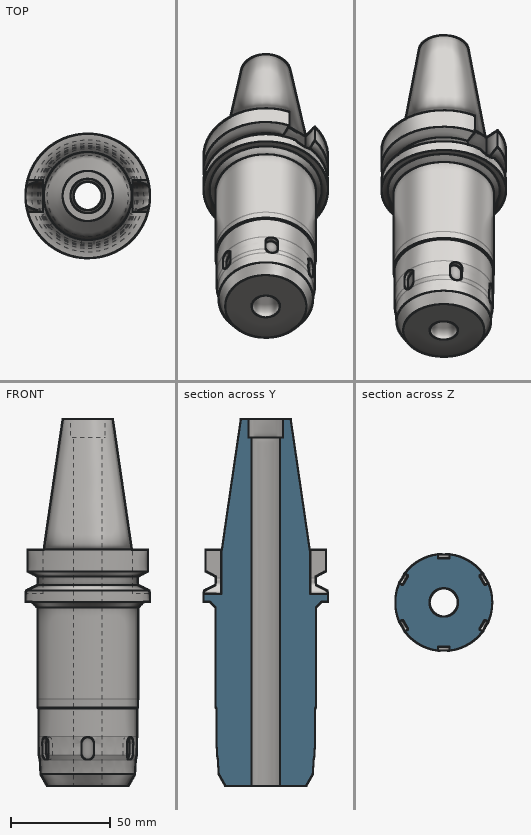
import cadquery as cq

taper_length = 65.4
gauge_diameter = 44.45
taper_ratio = 7 / 24
small_end_diameter = gauge_diameter - taper_ratio * taper_length

flange_diameter = 63.0
flange_top_z = -0.6
flange_bottom_z = -27.0
groove_diameter = 53.0
groove_mid_z = -16.4
groove_mouth_width = 9.7
groove_floor_width = 4.2
collar_diameter = 56.6

body_diameter = 51.0
body_cone_bottom_z = -29.9
body_edge_z = -76.0
body_bottom_z = -80.3
body_bottom_diameter = 50.9

nut_top_z = -80.8
nut_diameter = 50.0
nut_taper_top_z = -95.0
nut_band_z = -104.4
nut_band_diameter = 49.6
nut_step_z = -106.8
nut_step_diameter = 48.6
nut_nose_z = -114.0
nut_nose_diameter = 47.8
nose_z = -120.0
nose_diameter = 41.0

bore_diameter = 14.2
counterbore_diameter = 17.4
counterbore_depth = 9.3

keyway_count = 2
keyway_width = 16.1
keyway_floor_radius = 22.5
keyway_bottom_z = -22.9

slot_count = 6
slot_width = 6.3
slot_height = 11.4
slot_mid_z = -101.0
slot_floor_radius = 22.4


def turned_body():
    """Revolve the half profile, listed from the top of the taper down to the nose."""
    steps = [
        (small_end_diameter, taper_length),
        (gauge_diameter, 0),
        (gauge_diameter, flange_top_z),
        (flange_diameter, flange_top_z),
        (flange_diameter, groove_mid_z + groove_mouth_width / 2),
        (groove_diameter, groove_mid_z + groove_floor_width / 2),
        (groove_diameter, groove_mid_z - groove_floor_width / 2),
        (flange_diameter, groove_mid_z - groove_mouth_width / 2),
        (flange_diameter, flange_bottom_z),
        (collar_diameter, flange_bottom_z),
        (body_diameter, body_cone_bottom_z),
        (body_diameter, body_edge_z),
        (body_bottom_diameter, body_bottom_z),
        (nut_diameter, nut_top_z),
        (nut_diameter, nut_taper_top_z),
        (nut_band_diameter, nut_band_z),
        (nut_step_diameter, nut_step_z),
        (nut_nose_diameter, nut_nose_z),
        (nose_diameter, nose_z),
    ]
    profile = [(diameter / 2, z) for diameter, z in steps]
    profile = [(0, taper_length)] + profile + [(0, nose_z)]
    return cq.Workplane("XZ").polyline(profile).close().revolve(360, (0, 0), (0, 1))


def bore():
    """Through bore with a counterbore at the small end of the taper."""
    through = cq.Workplane("XY").workplane(offset=nose_z).circle(bore_diameter / 2)
    through = through.extrude(taper_length - nose_z)
    counterbore = cq.Workplane("XY").workplane(offset=taper_length - counterbore_depth)
    counterbore = counterbore.circle(counterbore_diameter / 2).extrude(counterbore_depth)
    return through.union(counterbore)


def keyway():
    """Keyway on the +X side: open at the top, with a full-round lower end."""
    half_width = keyway_width / 2
    round_z = keyway_bottom_z + half_width
    return (
        cq.Workplane("YZ")
        .workplane(offset=keyway_floor_radius)
        .moveTo(-half_width, flange_top_z)
        .lineTo(-half_width, round_z)
        .threePointArc((0, keyway_bottom_z), (half_width, round_z))
        .lineTo(half_width, flange_top_z)
        .close()
        .extrude(flange_diameter / 2 - keyway_floor_radius)
    )


def spanner_slot():
    """Upright round-ended slot on the +Y side, with a flat floor."""
    return (
        cq.Workplane("XZ", origin=(0, nut_diameter / 2, slot_mid_z))
        .slot2D(slot_height, slot_width, 90)
        .extrude(nut_diameter / 2 - slot_floor_radius)
    )


def about_axis(shape, angle):
    return shape.rotate((0, 0, 0), (0, 0, 1), angle)


result = turned_body().cut(bore())

for index in range(keyway_count):
    result = result.cut(about_axis(keyway(), index * 360 / keyway_count))

for index in range(slot_count):
    result = result.cut(about_axis(spanner_slot(), index * 360 / slot_count))